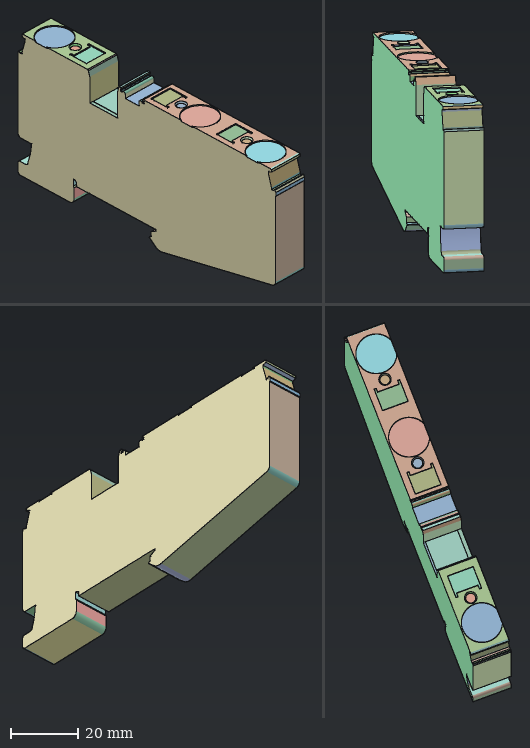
import cadquery as cq
import math

LENGTH = 108.11
SIDE_RIB = 0.16
BODY_LENGTH = LENGTH - SIDE_RIB
THICKNESS = 12.2
HEIGHT = 50.71

EDGE_INSET = 1.65
EDGE_CHAMFER_X = 0.5
EDGE_CHAMFER_Z = 0.15
EDGE_BOTTOM_Z = 49.7
NECK_INSET = 2.95
UNDERCUT_Z = 49.3
NECK_TOP_Z = 48.6
NECK_BOTTOM_Z = 44.1
LEDGE_Z = 43.5
LIP_TOP_Z = 43.9
LIP_BOTTOM_Z = 43.25
LIP_BEVEL_X = 0.25
LIP_WIDTH = 0.5
LIP_SLOPE_END_X = 1.0

RIB_BOTTOM_Z = 42.0
RIB_SHOULDER_Z = 41.8

SLOT_LEFT_X = 30.2
SLOT_RIGHT_X = 41.75
SLOT_FLOOR_Z = 39.2
SLOT_FLARE = 0.65
SLOT_FLARE_Z = 48.4
SLOT_EDGE_CHAMFER = 0.3
SLOT_RECESS_DEPTH = 0.1
SLOT_FRONT_RIM = 1.35
SLOT_BACK_RIM = 0.65

GROOVE_CENTRE_X = 47.9
GROOVE_FLOOR_Z = 47.65
GROOVE_HALF_WIDTH = 2.85
GROOVE_SHOULDER_Z = 49.7
GROOVE_SHOULDER_RADIUS = 0.65
SHOULDER_END = 4.0
NOTCH_HALF_WIDTH = 4.95
NOTCH_START = 4.2
NOTCH_BOTTOM_Z = 49.35
HOOK_LIP_HALF_WIDTH = 4.4
HOOK_LIP_UNDERSIDE_Z = 50.05
HOOK_LIP_CHAMFER_X = 0.2
HOOK_LIP_CHAMFER_Z = 0.35

HOOK_CENTRE_X = 59.8
HOOK_RADIUS = 3.5
HOOK_START_ANGLE = math.radians(38)
UNDERSIDE_ANGLE = math.radians(11.7)
RIGHT_CORNER_RADIUS = 1.3

HOOK_FRONT = [(55.05, 2.85), (55.1, 3.1), (55.75, 3.5), (55.75, 5.2), (57.75, 6.3)]

SEAT_Z = 6.87
RELIEF_LEFT_X = 23.25
RELIEF_RIGHT_X = 24.55
RELIEF_TOP_Z = 8.9
RELIEF_RADIUS = 0.9
RELIEF_BOTTOM_Z = 6.5

FOOT_RIGHT_X = 23.5
FOOT_SHOULDER_Z = 5.9
FOOT_CORNER_RADIUS = 1.7
FOOT_CORNER_HEIGHT = 1.9
FOOT_BOTTOM_RADIUS = 1.1
FOOT_TOP_Z = 4.95
FOOT_TOP_RADIUS = 0.85
HOLLOW_FILLET_START_X = 3.3
HOLLOW_BOTTOM = (4.2, 5.95)
HOLLOW_MIDDLE = (5.2, 9.6)
HOLLOW_TOP = (5.65, 13.3)
HOLLOW_CORNER_RADIUS = 1.4

DISC_DIAMETER = 12.2
DISC_OFFSET_Y = -0.4
DISC_DEPTH = 0.4
END_DISC_X = 9.75
DISC_PITCH = 27.45
HOLE_OFFSET = 8.3
HOLE_DIAMETER = 3.0
HOLE_RIM_DIAMETER = 3.7
HOLE_DEPTH = 0.6
POCKET_DEPTH = 0.4
POCKET_NEAR_OFFSET = 11.15
POCKET_FAR_OFFSET = 17.0
POCKET_ARM_OFFSET = 9.95
POCKET_WIDTH = 8.15
POCKET_ARM_WIDTH = 0.65


def draw_lines(sketch, points):
    for point in points:
        sketch = sketch.lineTo(*point)
    return sketch


def round_corner(sketch, start, corner, end):
    """Line to `start`, then a quarter round towards `corner` that ends at `end`."""
    blend = 1 - math.sqrt(0.5)
    middle = tuple((s + e) * blend + c * (1 - 2 * blend) for s, c, e in zip(start, corner, end))
    return sketch.lineTo(*start).threePointArc(middle, end)


def label_edge():
    """Left upper corner of the housing as (X, Z), from the side up to the top face."""
    return [
        (0, LIP_BOTTOM_Z),
        (LIP_BEVEL_X, LIP_TOP_Z),
        (LIP_WIDTH, LIP_TOP_Z),
        (LIP_SLOPE_END_X, LEDGE_Z),
        (EDGE_INSET, LEDGE_Z),
        (EDGE_INSET, NECK_BOTTOM_Z),
        (NECK_INSET, NECK_TOP_Z),
        (NECK_INSET, UNDERCUT_Z),
        (EDGE_INSET, EDGE_BOTTOM_Z),
        (EDGE_INSET, HEIGHT - EDGE_CHAMFER_Z),
        (EDGE_INSET + EDGE_CHAMFER_X, HEIGHT),
    ]


def slot_outline():
    left_rim_x = SLOT_LEFT_X - SLOT_FLARE
    return [
        (left_rim_x - SLOT_EDGE_CHAMFER, HEIGHT),
        (left_rim_x, HEIGHT - SLOT_EDGE_CHAMFER),
        (SLOT_LEFT_X, SLOT_FLARE_Z),
        (SLOT_LEFT_X, SLOT_FLOOR_Z),
        (SLOT_RIGHT_X, SLOT_FLOOR_Z),
        (SLOT_RIGHT_X, SLOT_FLARE_Z),
        (SLOT_RIGHT_X + SLOT_FLARE, HEIGHT),
    ]


def groove_lip(side):
    """Hooked lip of the marker groove, from the top face inwards; side is -1 (left) or 1 (right)."""
    lip = [
        (HOOK_LIP_HALF_WIDTH + HOOK_LIP_CHAMFER_X, HEIGHT),
        (HOOK_LIP_HALF_WIDTH, HEIGHT - HOOK_LIP_CHAMFER_Z),
        (HOOK_LIP_HALF_WIDTH, HOOK_LIP_UNDERSIDE_Z),
        (NOTCH_HALF_WIDTH, HOOK_LIP_UNDERSIDE_Z),
        (NOTCH_HALF_WIDTH, NOTCH_BOTTOM_Z),
        (NOTCH_START, NOTCH_BOTTOM_Z),
        (SHOULDER_END, GROOVE_SHOULDER_Z),
    ]
    return [(GROOVE_CENTRE_X + side * distance, z) for distance, z in lip]


def draw_groove(sketch):
    left_x = GROOVE_CENTRE_X - GROOVE_HALF_WIDTH
    right_x = GROOVE_CENTRE_X + GROOVE_HALF_WIDTH
    radius = GROOVE_SHOULDER_RADIUS
    top = GROOVE_SHOULDER_Z
    sketch = draw_lines(sketch, groove_lip(-1))
    sketch = round_corner(sketch, (left_x - radius, top), (left_x, top), (left_x, top - radius))
    sketch = draw_lines(sketch, [(left_x, GROOVE_FLOOR_Z), (right_x, GROOVE_FLOOR_Z)])
    sketch = round_corner(sketch, (right_x, top - radius), (right_x, top), (right_x + radius, top))
    return draw_lines(sketch, reversed(groove_lip(1)))


def draw_right_side(sketch):
    """Mirrored label edge, side rib and rounded lower right corner."""
    right_edge = [(BODY_LENGTH - x, z) for x, z in label_edge()]
    right_edge[0] = (LENGTH, LIP_BOTTOM_Z)
    sketch = draw_lines(sketch, reversed(right_edge))
    return draw_lines(sketch, [(LENGTH, RIB_BOTTOM_Z), (BODY_LENGTH, RIB_SHOULDER_Z)])


def hook_point(angle):
    """Point on the round of the rail hook; the angle is measured from its lowest point towards +X."""
    return (HOOK_CENTRE_X + HOOK_RADIUS * math.sin(angle), HOOK_RADIUS * (1 - math.cos(angle)))


def draw_underside(sketch):
    slope_end = hook_point(UNDERSIDE_ANGLE)
    corner_z = slope_end[1] + (BODY_LENGTH - slope_end[0]) * math.tan(UNDERSIDE_ANGLE)
    corner = (BODY_LENGTH, corner_z)
    round_start = (BODY_LENGTH, corner_z + RIGHT_CORNER_RADIUS)
    round_end = (
        BODY_LENGTH - RIGHT_CORNER_RADIUS * math.cos(UNDERSIDE_ANGLE),
        corner_z - RIGHT_CORNER_RADIUS * math.sin(UNDERSIDE_ANGLE),
    )
    sketch = round_corner(sketch, round_start, corner, round_end)
    sketch = sketch.lineTo(*slope_end).threePointArc(hook_point(0), hook_point(-HOOK_START_ANGLE))
    return draw_lines(sketch, HOOK_FRONT)


def draw_rail_seat(sketch):
    hook_x = HOOK_FRONT[-1][0]
    sketch = draw_lines(sketch, [(hook_x, SEAT_Z), (RELIEF_RIGHT_X, SEAT_Z)])
    sketch = round_corner(
        sketch,
        (RELIEF_RIGHT_X, RELIEF_TOP_Z - RELIEF_RADIUS),
        (RELIEF_RIGHT_X, RELIEF_TOP_Z),
        (RELIEF_RIGHT_X - RELIEF_RADIUS, RELIEF_TOP_Z),
    )
    return draw_lines(sketch, [(RELIEF_LEFT_X, RELIEF_TOP_Z), (RELIEF_LEFT_X, RELIEF_BOTTOM_Z)])


def draw_foot(sketch):
    sketch = sketch.lineTo(FOOT_RIGHT_X, FOOT_SHOULDER_Z)
    sketch = round_corner(
        sketch, (FOOT_RIGHT_X, FOOT_CORNER_HEIGHT), (FOOT_RIGHT_X, 0), (FOOT_RIGHT_X - FOOT_CORNER_RADIUS, 0)
    )
    sketch = round_corner(sketch, (FOOT_BOTTOM_RADIUS, 0), (0, 0), (0, FOOT_BOTTOM_RADIUS))
    return round_corner(
        sketch, (0, FOOT_TOP_Z - FOOT_TOP_RADIUS), (0, FOOT_TOP_Z), (FOOT_TOP_RADIUS, FOOT_TOP_Z)
    )


def draw_hollow(sketch):
    """Hollow in the left side above the foot, up to the rounded lower corner of the side."""
    corner_z = HOLLOW_TOP[1]
    sketch = round_corner(
        sketch, (HOLLOW_FILLET_START_X, FOOT_TOP_Z), (HOLLOW_BOTTOM[0], FOOT_TOP_Z), HOLLOW_BOTTOM
    )
    sketch = sketch.threePointArc(HOLLOW_MIDDLE, HOLLOW_TOP)
    return round_corner(
        sketch, (HOLLOW_CORNER_RADIUS, corner_z), (0, corner_z), (0, corner_z + HOLLOW_CORNER_RADIUS)
    )


def housing():
    """Side outline of the housing, drawn clockwise from the upper left corner and extruded."""
    left_edge = label_edge()
    sketch = cq.Workplane("XZ", origin=(0, THICKNESS / 2, 0)).moveTo(*left_edge[0])
    sketch = draw_lines(sketch, left_edge[1:] + slot_outline())
    sketch = draw_groove(sketch)
    sketch = draw_right_side(sketch)
    sketch = draw_underside(sketch)
    sketch = draw_rail_seat(sketch)
    sketch = draw_foot(sketch)
    sketch = draw_hollow(sketch)
    return sketch.close().extrude(THICKNESS)


def slot_recess():
    length = SLOT_RIGHT_X - SLOT_LEFT_X
    width = THICKNESS - SLOT_FRONT_RIM - SLOT_BACK_RIM
    corner = (SLOT_LEFT_X, SLOT_FRONT_RIM - THICKNESS / 2, SLOT_FLOOR_Z - SLOT_RECESS_DEPTH)
    return cq.Workplane("XY", origin=corner).box(length, width, SLOT_RECESS_DEPTH, centered=False)


def clamp_disc(top):
    return top.center(0, DISC_OFFSET_Y).circle(DISC_DIAMETER / 2).extrude(-DISC_DEPTH)


def test_hole(top, direction):
    """Shallow tapered hole."""
    rim = top.center(direction * HOLE_OFFSET, 0).circle(HOLE_RIM_DIAMETER / 2)
    return rim.workplane(offset=-HOLE_DEPTH).circle(HOLE_DIAMETER / 2).loft()


def label_pocket(top, direction):
    """Shallow rectangular pocket with two narrow arms that reach towards the disc."""
    half = POCKET_WIDTH / 2
    inner = half - POCKET_ARM_WIDTH
    upper_half = [
        (POCKET_FAR_OFFSET, half),
        (POCKET_ARM_OFFSET, half),
        (POCKET_ARM_OFFSET, inner),
        (POCKET_NEAR_OFFSET, inner),
    ]
    lower_half = [(x, -y) for x, y in reversed(upper_half)]
    outline = [(direction * x, y) for x, y in upper_half + lower_half]
    return top.polyline(outline).close().extrude(-POCKET_DEPTH)


def clamp_point(disc_x, direction):
    """Cuts of one clamping point; direction is the side of the disc (along X) with hole and pocket."""
    top = cq.Workplane("XY", origin=(disc_x, 0, HEIGHT))
    return clamp_disc(top).union(test_hole(top, direction)).union(label_pocket(top, direction))


last_disc_x = BODY_LENGTH - END_DISC_X
clamp_points = [(END_DISC_X, 1), (last_disc_x - DISC_PITCH, -1), (last_disc_x, -1)]

result = housing().cut(slot_recess())
for disc_x, direction in clamp_points:
    result = result.cut(clamp_point(disc_x, direction))